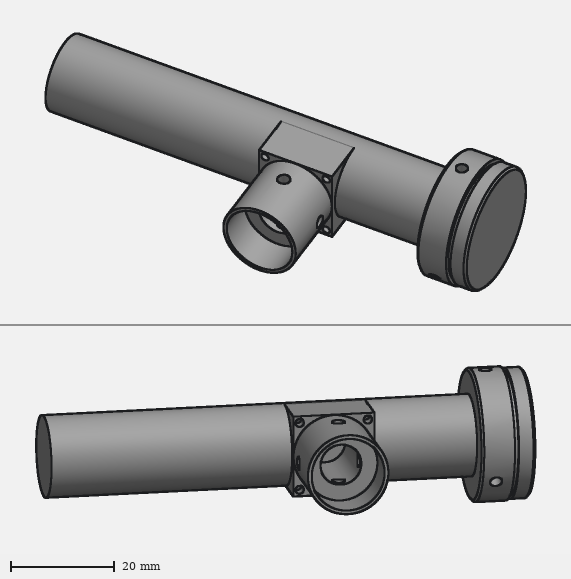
import cadquery as cq
import math

total_length = 94.1
tube_diameter = 16.0

collar_start = 83.5
collar_radius = 13.0
groove_start = 90.0
groove_end = 90.8
groove_radius = 12.0
ring_radius = 12.7
collar_chamfer = 0.5
ring_chamfer = 0.5

collar_hole_x = 86.6
collar_hole_diameter = 2.35
collar_hole_depth = 3.0
collar_hole_count = 3

branch_x = 55.1
block_width = 15.9
block_reach = 9.1
socket_reach = 24.0
socket_diameter = 15.8
socket_bore_diameter = 14.3
socket_bore_depth = 7.4
passage_diameter = 8.0
cross_hole_reach = 14.0
cross_hole_diameter = 2.5

corner_hole_spacing = 13.4
corner_hole_diameter = 1.6
corner_hole_depth = 2.8

drill_tip_angle = 118.0


def drill(center, direction, diameter, depth):
    """Blind hole cutter with a conical tip beyond its full-diameter depth."""
    radius = diameter / 2
    tip = radius / math.tan(math.radians(drill_tip_angle / 2))
    start = cq.Vector(*center)
    axis = cq.Vector(*direction)
    bore = cq.Solid.makeCylinder(radius, depth, start, axis)
    cone = cq.Solid.makeCone(radius, 0, tip, start + axis * depth, axis)
    return cq.Workplane(bore).union(cq.Workplane(cone))


def branch_cylinder(diameter, inner_y, outer_reach):
    """Cylinder on the branch axis, from inner_y out to -outer_reach in Y."""
    plane = cq.Workplane("XZ", origin=(branch_x, inner_y, 0))
    return plane.circle(diameter / 2).extrude(outer_reach + inner_y)


def make_collar():
    profile = [
        (collar_start, 0),
        (collar_start, collar_radius - collar_chamfer),
        (collar_start + collar_chamfer, collar_radius),
        (groove_start, collar_radius),
        (groove_start, groove_radius),
        (groove_end, groove_radius),
        (groove_end, ring_radius),
        (total_length - ring_chamfer, ring_radius),
        (total_length, ring_radius - ring_chamfer),
        (total_length, 0),
    ]
    collar = cq.Workplane("XY").polyline(profile).close().revolve(360, (0, 0, 0), (1, 0, 0))
    for index in range(collar_hole_count):
        angle = math.radians(90 + index * 360 / collar_hole_count)
        out_y = math.cos(angle)
        out_z = math.sin(angle)
        mouth = (collar_hole_x, collar_radius * out_y, collar_radius * out_z)
        inward = (0, -out_y, -out_z)
        collar = collar.cut(drill(mouth, inward, collar_hole_diameter, collar_hole_depth))
    return collar


def make_block():
    block = cq.Workplane("XY").box(block_width, block_reach, tube_diameter)
    return block.translate((branch_x, -block_reach / 2, 0))


def cut_socket(body):
    bore = branch_cylinder(socket_bore_diameter, socket_bore_depth - socket_reach, socket_reach)
    passage = branch_cylinder(passage_diameter, 0, socket_reach)
    body = body.cut(bore).cut(passage)
    for plane in ("YZ", "XY"):
        hole = cq.Workplane(plane, origin=(branch_x, -cross_hole_reach, 0))
        hole = hole.circle(cross_hole_diameter / 2).extrude(socket_diameter, both=True)
        body = body.cut(hole)
    return body


def cut_corner_holes(body):
    offset = corner_hole_spacing / 2
    for side_x in (-offset, offset):
        for side_z in (-offset, offset):
            mouth = (branch_x + side_x, -block_reach, side_z)
            body = body.cut(drill(mouth, (0, 1, 0), corner_hole_diameter, corner_hole_depth))
    return body


tube = cq.Workplane("YZ").circle(tube_diameter / 2).extrude(collar_start)
socket = branch_cylinder(socket_diameter, -block_reach, socket_reach)
body = tube.union(make_block()).union(socket).union(make_collar())
result = cut_corner_holes(cut_socket(body))